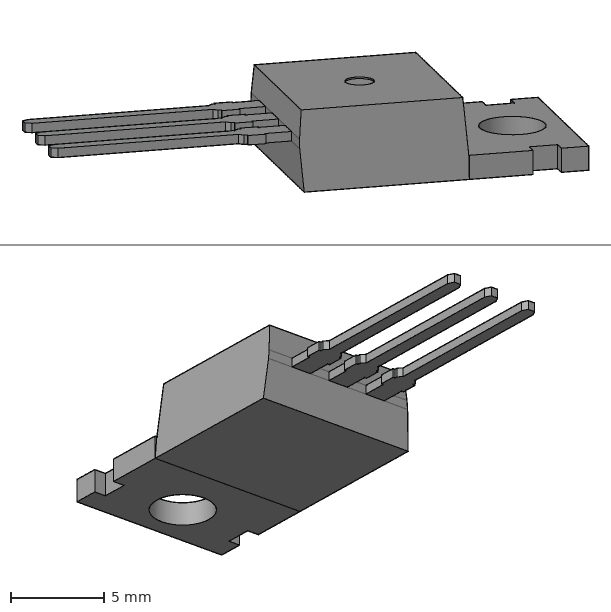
import cadquery as cq
import math


width = 10.0
tab_length = 6.65
tab_thickness = 1.35
hole_diameter = 3.6
hole_from_end = 2.85
notch_from_end = 1.53
notch_length = 1.58
notch_depth = 0.73

housing_height = 4.5
housing_length = 9.4
draft_slope = math.tan(math.radians(4.7))
dimple_diameter = 1.58
dimple_depth = 0.1
dimple_from_tab = 4.7

lead_count = 3
lead_pitch = 2.55
lead_bottom = 2.38
lead_thickness = 0.53
lead_top = lead_bottom + lead_thickness
shank_width = 1.25
collar_width = 1.53
pin_width = 0.8
shank_length = 1.47
collar_length = 1.0
neck_length = 0.18
shoulder_length = 0.23
lead_length = 13.3
tip_chamfer_width = 0.18
tip_chamfer_length = 0.35


def make_tab():
    """Flat plate with a screw hole and a notch in each long edge."""
    tab = cq.Workplane("XY").box(width, tab_length, tab_thickness, centered=(True, False, False))
    hole = (
        cq.Workplane("XY")
        .center(0, tab_length - hole_from_end)
        .circle(hole_diameter / 2)
        .extrude(tab_thickness)
    )
    notch_y = tab_length - notch_from_end - notch_length / 2
    notches = (
        cq.Workplane("XY")
        .pushPoints([(-width / 2, notch_y), (width / 2, notch_y)])
        .rect(2 * notch_depth, notch_length)
        .extrude(tab_thickness)
    )
    return tab.cut(hole).cut(notches)


def make_housing():
    """Moulded block whose side, rear and front walls share one draft angle."""
    rear_inset = (housing_height - tab_thickness) * draft_slope
    front_top_inset = (housing_height - lead_top) * draft_slope
    front_bottom_inset = lead_bottom * draft_slope
    length_profile = (
        cq.Workplane("YZ")
        .polyline([
            (0, 0),
            (0, tab_thickness),
            (-rear_inset, housing_height),
            (front_top_inset - housing_length, housing_height),
            (-housing_length, lead_top),
            (-housing_length, lead_bottom),
            (front_bottom_inset - housing_length, 0),
        ])
        .close()
        .extrude(width / 2, both=True)
    )
    top_half_width = width / 2 - housing_height * draft_slope
    width_profile = (
        cq.Workplane("XZ")
        .polyline([
            (-width / 2, 0),
            (width / 2, 0),
            (top_half_width, housing_height),
            (-top_half_width, housing_height),
        ])
        .close()
        .extrude(housing_length)
    )
    dimple = (
        cq.Workplane("XY", origin=(0, -dimple_from_tab, housing_height - dimple_depth))
        .circle(dimple_diameter / 2)
        .extrude(dimple_depth)
    )
    return length_profile.intersect(width_profile).cut(dimple)


def make_lead(center_x):
    """Flat lead: shank, wider collar, short neck, tapered shoulder and a thin pin with a chamfered tip."""
    collar_start = -shank_length
    collar_end = collar_start - collar_length
    neck_end = collar_end - neck_length
    pin_start = neck_end - shoulder_length
    right_side = [
        (shank_width / 2, 0),
        (shank_width / 2, collar_start),
        (collar_width / 2, collar_start),
        (collar_width / 2, collar_end),
        (shank_width / 2, collar_end),
        (shank_width / 2, neck_end),
        (pin_width / 2, pin_start),
        (pin_width / 2, tip_chamfer_length - lead_length),
        (pin_width / 2 - tip_chamfer_width, -lead_length),
    ]
    left_side = [(-x, y) for x, y in reversed(right_side)]
    return (
        cq.Workplane("XY", origin=(center_x, -housing_length, lead_bottom))
        .polyline(right_side + left_side)
        .close()
        .extrude(lead_thickness)
    )


tab = make_tab()
housing = make_housing()
leads = []
for index in range(lead_count):
    lead_x = (index - (lead_count - 1) / 2) * lead_pitch
    leads.append(make_lead(lead_x))

result = cq.Compound.makeCompound([tab.val(), housing.val(), *[lead.val() for lead in leads]])